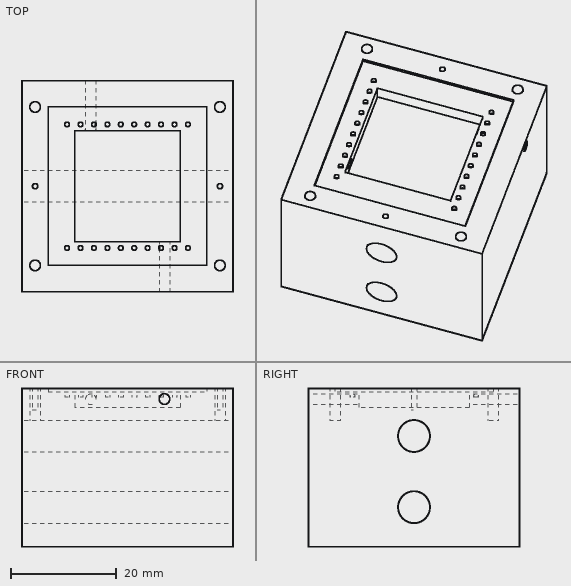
import cadquery as cq

side = 40
height = 30

recess_side = 30
recess_depth = 0.6
pocket_length_x = 20
pocket_length_y = 21.0
pocket_depth = 3.0
recess_floor = height - recess_depth
pocket_floor = recess_floor - pocket_depth

pin_diameter = 0.9
pin_count = 10
pin_row_span = 22.9
pin_pitch = pin_row_span / (pin_count - 1)
pin_row_spacing = 23.4
pin_depth = 1.0

rim_hole_spacing_x = 35.0
screw_diameter = 2
screw_spacing_y = 30
screw_depth = 6
dowel_diameter = 1.0
dowel_depth = 4

bore_diameter = 6
bore_heights = (7.5, 21.0)

port_diameter = 2
port_offset_x = 7.0
port_height = height - 2


def drill_down(part, top_z, diameter, depth, points):
    """Cut flat-bottomed vertical holes downward from top_z."""
    drills = (
        cq.Workplane("XY", origin=(0, 0, top_z))
        .pushPoints(points)
        .circle(diameter / 2)
        .extrude(-depth)
    )
    return part.cut(drills)


def drill_along_y(part, x, start_y, end_y):
    """Cut one port between two Y positions."""
    drill = (
        cq.Workplane("XZ", origin=(x, start_y, port_height))
        .circle(port_diameter / 2)
        .extrude(start_y - end_y)
    )
    return part.cut(drill)


block = cq.Workplane("XY").box(side, side, height, centered=(True, True, False))

recess = (
    cq.Workplane("XY", origin=(0, 0, recess_floor))
    .rect(recess_side, recess_side)
    .extrude(recess_depth)
)
pocket = (
    cq.Workplane("XY", origin=(0, 0, pocket_floor))
    .rect(pocket_length_x, pocket_length_y)
    .extrude(pocket_depth)
)
block = block.cut(recess).cut(pocket)

pin_points = [
    (i * pin_pitch - pin_row_span / 2, row_sign * pin_row_spacing / 2)
    for row_sign in (-1, 1)
    for i in range(pin_count)
]
block = drill_down(block, recess_floor, pin_diameter, pin_depth, pin_points)

rim_x = rim_hole_spacing_x / 2
screw_y = screw_spacing_y / 2
screw_points = [(x, y) for x in (-rim_x, rim_x) for y in (-screw_y, screw_y)]
block = drill_down(block, height, screw_diameter, screw_depth, screw_points)
block = drill_down(block, height, dowel_diameter, dowel_depth, [(-rim_x, 0), (rim_x, 0)])

for bore_height in bore_heights:
    bore = (
        cq.Workplane("YZ", origin=(-side / 2, 0, bore_height))
        .circle(bore_diameter / 2)
        .extrude(side)
    )
    block = block.cut(bore)

pocket_wall_y = pocket_length_y / 2
block = drill_along_y(block, port_offset_x, -side / 2, -pocket_wall_y)
block = drill_along_y(block, -port_offset_x, pocket_wall_y, side / 2)

result = block